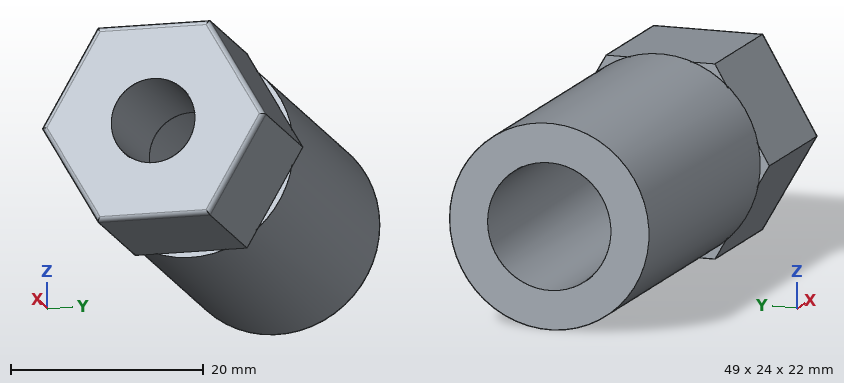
import cadquery as cq

sleeve_length = 34.0
sleeve_diameter = 22.0
sleeve_bore = 13.6
hex_length = 15.0
hex_across_corners = 24.0
hex_bore = 9.0
hex_rim_radius = 0.5

total_length = sleeve_length + hex_length
open_end_x = -total_length / 2
joint_x = open_end_x + sleeve_length



def cross_section(x):
    """Workplane square to the X axis at position x, with local x along +Y."""
    return cq.Workplane("YZ", origin=(x, 0, 0))


def make_sleeve():
    """Round tube, open at the -X end and butting against the hex head."""
    return (
        cross_section(open_end_x)
        .circle(sleeve_diameter / 2)
        .circle(sleeve_bore / 2)
        .extrude(sleeve_length)
    )


def make_hex_head():
    """Hexagonal head with a narrower through bore and a rounded far rim."""
    blank = cross_section(joint_x).polygon(6, hex_across_corners).extrude(hex_length)
    rounded = blank.faces(">X").edges().fillet(hex_rim_radius)
    bore = cross_section(joint_x).circle(hex_bore / 2).extrude(hex_length)
    return rounded.cut(bore)


sleeve = make_sleeve()
hex_head = make_hex_head()

result = cq.Compound.makeCompound([sleeve.val(), hex_head.val()])